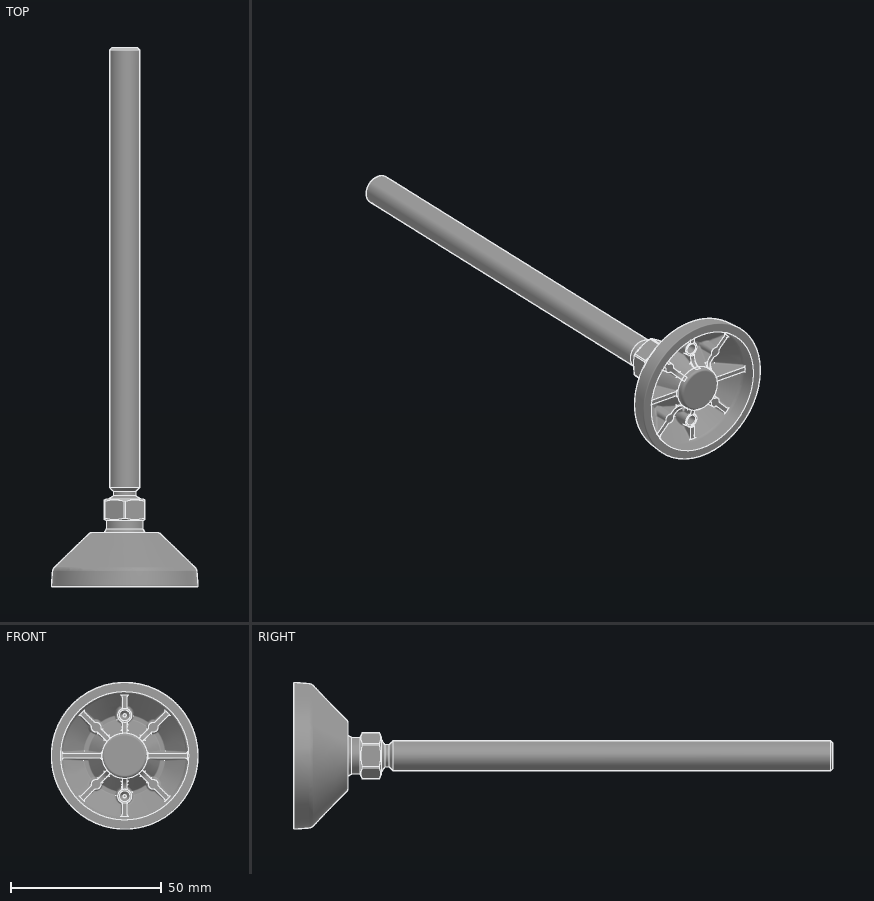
import cadquery as cq
import math

total_length = 179.6

foot_radius = 24.52
foot_height = 18.1
foot_edge_round = 0.4
skirt_height = 6.0
skirt_top_radius = 24.0
skirt_round = 2.2
top_face_radius = 11.5
top_face_round = 1.8

cavity_mouth_radius = 21.4
cavity_wall_radius = 20.8
cavity_wall_height = 4.8
cavity_wall_round = 1.5
ceiling_height = 11.5
ceiling_outer_radius = 13.6
hub_root_radius = 12.0
hub_end_radius = 7.5
hub_end_height = 1.0
hub_taper_start = 3.6
hub_end_round = 0.9

tall_rib_end_height = 4.0
low_rib_end_height = 5.4
rib_toe_radius = 3.2
rib_end_width = 1.6
rib_root_width = 3.2
pocket_round = 0.5
pocket_round_start = 6.3
boss_circle_radius = 13.5
pin_boss_end_radius = 1.6
pin_boss_root_radius = 2.5
screw_boss_end_height = 6.1
screw_boss_end_radius = 2.3
screw_boss_root_radius = 3.6
screw_hole_mouth_radius = 1.8
screw_hole_bottom_radius = 0.5
screw_hole_depth = 4.5
tall_rib_angles = (0, 180)
screw_boss_angles = (90, 270)
pin_boss_angles = (45, 135, 225, 315)

ball_radius = 7.5
ball_centre_height = 14.9
neck_radius = 6.1
hex_start = 22.1
hex_end = 29.3
hex_across_flats = 13.6
hex_corner_trim_radius = 7.7
hex_trim_height = 0.7
collar_radius = 5.4
collar_tip_height = 30.4
groove_radius = 3.8
groove_end = 31.8
rod_radius = 5.0
rod_start = 33.0
rod_tip_chamfer = 0.7


def on_y_axis(profile):
    """Turn a closed (radius, height) profile around the Y axis."""
    return profile.close().revolve(360, (0, 0, 0), (0, 1, 0))


def ring_edge(radius, height):
    """Selector for the circular edge of that radius around the Y axis at that height."""
    reach = radius + 0.02
    inner = radius - 0.02
    outer_box = cq.selectors.BoxSelector(
        (-reach, height - 0.02, -reach), (reach, height + 0.02, reach), boundingbox=True
    )
    inner_box = cq.selectors.BoxSelector(
        (-inner, height - 0.02, -inner), (inner, height + 0.02, inner), boundingbox=True
    )
    return outer_box - inner_box


def foot_blank():
    blank = on_y_axis(
        cq.Workplane("XY").polyline([
            (0, 0),
            (foot_radius, 0),
            (skirt_top_radius, skirt_height),
            (top_face_radius, foot_height),
            (0, foot_height),
        ])
    )
    blank = blank.edges(ring_edge(skirt_top_radius, skirt_height)).fillet(skirt_round)
    blank = blank.edges(ring_edge(top_face_radius, foot_height)).fillet(top_face_round)
    return blank.edges(ring_edge(foot_radius, 0)).fillet(foot_edge_round)


def cavity():
    """Ring-shaped hollow around the tapered hub."""
    bowl = on_y_axis(
        cq.Workplane("XY").polyline([
            (0, 0),
            (cavity_mouth_radius, 0),
            (cavity_wall_radius, cavity_wall_height),
            (ceiling_outer_radius, ceiling_height),
            (0, ceiling_height),
        ])
    )
    bowl = bowl.edges(ring_edge(cavity_wall_radius, cavity_wall_height)).fillet(cavity_wall_round)
    hub = on_y_axis(
        cq.Workplane("XY").polyline([
            (0, hub_end_height),
            (hub_end_radius, hub_end_height),
            (hub_end_radius, hub_taper_start),
            (hub_root_radius, ceiling_height),
            (0, ceiling_height),
        ])
    )
    hub = hub.edges(ring_edge(hub_end_radius, hub_end_height)).fillet(hub_end_round)
    return bowl.cut(hub)


def rib(end_height, angle):
    """Radial rib, thinner at its free end; the cavity trims it to length."""
    half_end = rib_end_width / 2
    half_root = rib_root_width / 2
    return (
        cq.Workplane("YZ")
        .polyline([
            (end_height, -half_end),
            (end_height, half_end),
            (foot_height, half_root),
            (foot_height, -half_root),
        ])
        .close()
        .extrude(foot_radius)
        .rotate((0, 0, 0), (0, 1, 0), angle)
    )


def rib_toe(angle):
    """Concave web that carries the end of a low rib down the side of the hub."""
    toe_outer_radius = hub_end_radius + rib_toe_radius
    toe_height = low_rib_end_height - rib_toe_radius
    arc_offset = rib_toe_radius * math.sqrt(0.5)
    return (
        cq.Workplane("XY")
        .moveTo(hub_end_radius, toe_height)
        .threePointArc(
            (toe_outer_radius - arc_offset, toe_height + arc_offset),
            (toe_outer_radius, low_rib_end_height),
        )
        .lineTo(hub_end_radius, low_rib_end_height)
        .close()
        .extrude(rib_end_width / 2, both=True)
        .rotate((0, 0, 0), (0, 1, 0), angle)
    )


def upright_cone(start_height, start_radius, end_height, end_radius, angle):
    """Cone parallel to the Y axis, centred on the boss circle at that angle."""
    cone = cq.Solid.makeCone(
        start_radius,
        end_radius,
        end_height - start_height,
        cq.Vector(boss_circle_radius, start_height, 0),
        cq.Vector(0, 1, 0),
    )
    return cq.Workplane(cone).rotate((0, 0, 0), (0, 1, 0), angle)


def pin_boss(angle):
    """Tapered solid boss, level with the low rib ends."""
    return upright_cone(low_rib_end_height, pin_boss_end_radius, foot_height, pin_boss_root_radius, angle)


def screw_boss(angle):
    """Tapered boss that ends a little deeper in the cavity than the ribs."""
    return upright_cone(
        screw_boss_end_height, screw_boss_end_radius, foot_height, screw_boss_root_radius, angle
    )


def screw_hole(angle):
    """Blind tapered hole in a screw boss, with the rib cleared away over the boss end."""
    clearance = cq.Workplane(
        cq.Solid.makeCylinder(
            screw_boss_end_radius,
            screw_boss_end_height - low_rib_end_height,
            cq.Vector(boss_circle_radius, low_rib_end_height, 0),
            cq.Vector(0, 1, 0),
        )
    ).rotate((0, 0, 0), (0, 1, 0), angle)
    hole = upright_cone(
        screw_boss_end_height,
        screw_hole_mouth_radius,
        screw_boss_end_height + screw_hole_depth,
        screw_hole_bottom_radius,
        angle,
    )
    return clearance.union(hole)


def ball():
    return cq.Workplane("XY").sphere(ball_radius).translate((0, ball_centre_height, 0))


def make_foot():
    hollow = cavity()
    for angle in tall_rib_angles:
        hollow = hollow.cut(rib(tall_rib_end_height, angle))
    for angle in screw_boss_angles:
        hollow = hollow.cut(rib(low_rib_end_height, angle)).cut(screw_boss(angle))
    for angle in pin_boss_angles:
        hollow = hollow.cut(rib(low_rib_end_height, angle)).cut(pin_boss(angle))
    deep_edges = cq.selectors.BoxSelector(
        (-foot_radius, pocket_round_start, -foot_radius), (foot_radius, foot_height, foot_radius)
    )
    hollow = hollow.edges(deep_edges).fillet(pocket_round)
    for angle in pin_boss_angles + screw_boss_angles:
        hollow = hollow.cut(rib_toe(angle))
    foot = foot_blank().cut(hollow)
    for angle in screw_boss_angles:
        foot = foot.cut(screw_hole(angle))
    return foot.cut(ball())


def hexagon():
    """Wrench hexagon with corners along Z, both ends bevelled at the corners."""
    corner_radius = hex_across_flats / math.sqrt(3)
    prism = (
        cq.Workplane("XZ", origin=(0, hex_start, 0))
        .polygon(6, 2 * corner_radius)
        .extrude(hex_start - hex_end)
        .rotate((0, 0, 0), (0, 1, 0), 30)
    )
    bevel = on_y_axis(
        cq.Workplane("XY").polyline([
            (0, hex_start),
            (neck_radius, hex_start),
            (hex_corner_trim_radius, hex_start + hex_trim_height),
            (hex_corner_trim_radius, hex_end - hex_trim_height),
            (neck_radius, hex_end),
            (0, hex_end),
        ])
    )
    return prism.intersect(bevel)


def make_spindle():
    stem = on_y_axis(
        cq.Workplane("XY").polyline([
            (0, ball_centre_height),
            (neck_radius, ball_centre_height),
            (neck_radius, hex_start),
            (collar_radius, hex_end),
            (groove_radius, collar_tip_height),
            (groove_radius, groove_end),
            (rod_radius, rod_start),
            (rod_radius, total_length - rod_tip_chamfer),
            (rod_radius - rod_tip_chamfer, total_length),
            (0, total_length),
        ])
    )
    return stem.union(hexagon()).union(ball())


foot = make_foot()
spindle = make_spindle()
result = cq.Compound.makeCompound([foot.val(), spindle.val()])